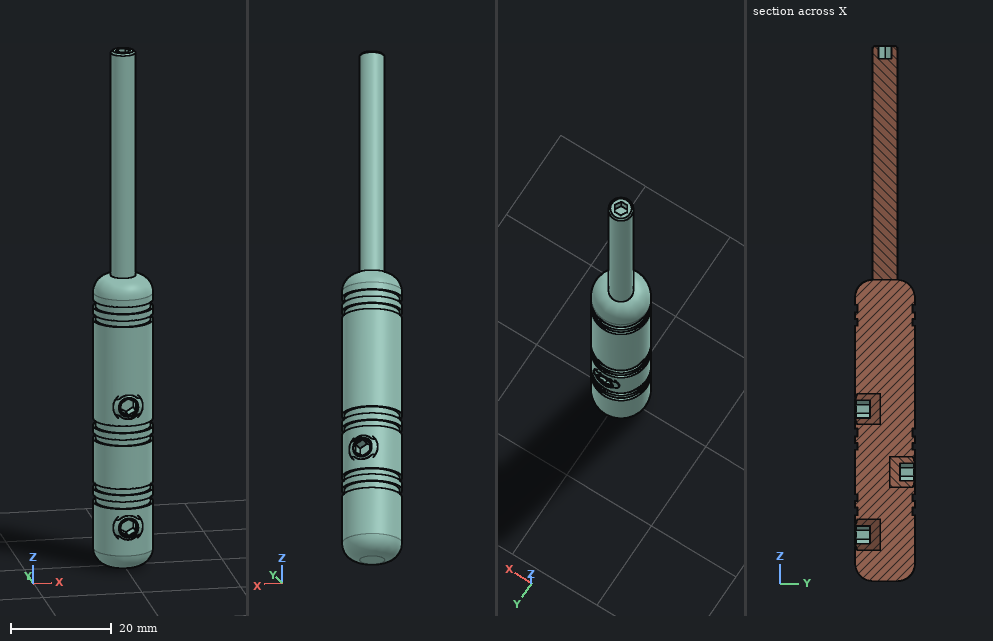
import cadquery as cq
import math

housing_radius = 6.0
housing_height = 60.0
end_fillet = 3.5

screw_sides = (-1, 1, -1)
middle_screw_height = 21.75
screw_spacing = 12.5
screw_places = [
    (side, middle_screw_height + index * screw_spacing)
    for index, side in enumerate(screw_sides, start=-1)
]
screw_radius = 3.0
screw_length = 5.0
screw_chamfer_width = 1.0
screw_chamfer_slope = math.radians(30)
screw_chamfer_length = screw_chamfer_width * math.tan(screw_chamfer_slope)
screw_hex_across_flats = 3.0
screw_hex_depth = 3.0
screw_countersink_radius = 1.8
screw_mouth_radius = 2.5

groove_depth = 0.5
wide_groove_width = 1.5
narrow_groove_width = 1.3
groove_pair_spacing = 2.75
middle_groove_offset = 7.85
top_groove_height = 54.25
groove_pairs = (
    (top_groove_height, top_groove_height - groove_pair_spacing),
    (
        middle_screw_height + middle_groove_offset,
        middle_screw_height + middle_groove_offset - groove_pair_spacing,
    ),
    (
        middle_screw_height - middle_groove_offset,
        middle_screw_height - middle_groove_offset + groove_pair_spacing,
    ),
)

total_height = 106.49
rod_radius = housing_radius - end_fillet
rod_length = total_height - housing_height
rod_chamfer_width = 0.4
rod_chamfer_length = rod_chamfer_width
rod_hex_across_flats = 2.5
rod_hex_depth = 2.5


def make_shank(radius, length, chamfer_width, chamfer_length):
    """A shank turned about Z, starting at Z = 0, with a chamfer around its far end."""
    outline = (
        cq.Workplane("XZ")
        .lineTo(radius, 0)
        .lineTo(radius, length - chamfer_length)
        .lineTo(radius - chamfer_width, length)
        .lineTo(0, length)
        .close()
    )
    return outline.revolve(360, (0, 0, 0), (0, 1, 0))


def make_hex_socket(across_flats, depth, end):
    """A hexagonal prism that reaches from Z = end down by depth, with two corners along X."""
    across_corners = across_flats / math.cos(math.pi / 6)
    return cq.Workplane("XY").workplane(offset=end - depth).polygon(6, across_corners).extrude(depth)


def place_radially(body, side, height):
    """Turn a body from +Z to the -Y or +Y side, its far end flush with the housing's surface."""
    turned = body.translate((0, 0, housing_radius - screw_length)).rotate((0, 0, 0), (0, 0, 1), 90)
    return turned.rotate((0, 0, 0), (1, 0, 0), -90 * side).translate((0, 0, height))


def make_screw_shank():
    return make_shank(screw_radius, screw_length, screw_chamfer_width, screw_chamfer_length)


def make_screw():
    socket = make_hex_socket(screw_hex_across_flats, screw_hex_depth, screw_length)
    countersink = cq.Solid.makeCone(
        0,
        screw_countersink_radius,
        screw_countersink_radius,
        cq.Vector(0, 0, screw_length - screw_countersink_radius),
    )
    return make_screw_shank().cut(socket).cut(cq.Workplane(obj=countersink))


def make_rod():
    shank = make_shank(rod_radius, rod_length, rod_chamfer_width, rod_chamfer_length)
    socket = make_hex_socket(rod_hex_across_flats, rod_hex_depth, rod_length)
    return shank.cut(socket).translate((0, 0, housing_height))


def make_groove(height, width):
    base = cq.Workplane("XY").workplane(offset=height - width / 2)
    return base.circle(housing_radius).circle(housing_radius - groove_depth).extrude(width)


def make_housing():
    body = cq.Workplane("XY").circle(housing_radius).extrude(housing_height).edges().fillet(end_fillet)
    for wide_height, narrow_height in groove_pairs:
        body = body.cut(make_groove(wide_height, wide_groove_width))
        body = body.cut(make_groove(narrow_height, narrow_groove_width))
    mouth = cq.Workplane("XY").circle(screw_mouth_radius).extrude(screw_length)
    for side, height in screw_places:
        body = body.cut(place_radially(make_screw_shank(), side, height))
        body = body.cut(place_radially(mouth, side, height))
    return body


housing = make_housing()
rod = make_rod()
screws = [place_radially(make_screw(), side, height) for side, height in screw_places]

result = cq.Compound.makeCompound([housing.val(), rod.val(), *(screw.val() for screw in screws)])